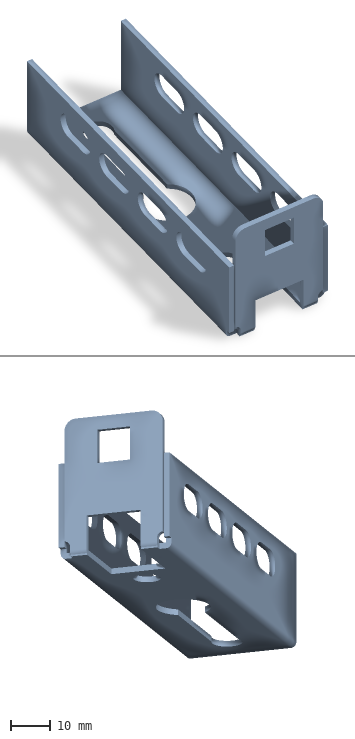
import cadquery as cq

length = 95
width = 30.0
total_height = 36.5
sheet = 1.5
bend_radius = 1.4

wall_height = 25.0
wall_length = 94.6
tab_width = 26.6
tab_corner_radius = 3.0
tab_inner_x = length - sheet

relief_start_x = 93.1
relief_inner_y = 11.8
wall_relief_top = 2.7
tab_relief_top = 4.0
tab_relief_radius = 1.5

slot_count = 4
slot_length = 14.0
slot_width = 7.0
slot_pitch = 18.05
first_slot_x = 22.7
slot_z = 17.0

keyhole_small_x = 10.45
keyhole_small_diameter = 8.0
keyhole_large_x = 42.9
keyhole_large_diameter = 14.1
keyhole_neck_width = 7.2
round_hole_x = 70.0
round_hole_diameter = 7.0

bend_window_start_x = 76.5
bend_window_width = 14.6
bend_window_top = 10.4
tab_window_size = 8.8
tab_window_bottom = 24.0


def box(x_range, y_range, z_range):
    """Box spanning the given coordinate ranges."""
    sizes = [high - low for low, high in (x_range, y_range, z_range)]
    corner = (x_range[0], y_range[0], z_range[0])
    return cq.Workplane("XY").box(*sizes, centered=False).translate(corner)


def make_channel():
    """U-shaped channel with rounded lower outer edges and relieved end corners."""
    half = width / 2
    body = box((0, wall_length), (-half, half), (0, wall_height))
    body = body.edges("|X and <Z").fillet(bend_radius)
    inner = half - sheet
    body = body.cut(box((0, wall_length), (-inner, inner), (sheet, wall_height)))
    for y_range in ((-half, -relief_inner_y), (relief_inner_y, half)):
        body = body.cut(box((relief_start_x, wall_length), y_range, (0, wall_relief_top)))
    return body


def make_tab():
    """Upright end tab with its bent foot, rounded top and relieved lower corners."""
    half = tab_width / 2
    tab = box((tab_inner_x, length), (-half, half), (0, total_height))
    tab = tab.edges("|X and >Z").fillet(tab_corner_radius)
    for side in (-1, 1):
        y_range = sorted((side * relief_inner_y, side * (half + sheet)))
        relief = box((tab_inner_x, length), y_range, (0, tab_relief_top))
        inner_edge = "<Y" if side > 0 else ">Y"
        relief = relief.edges("|X and >Z").edges(inner_edge).fillet(tab_relief_radius)
        tab = tab.cut(relief)
    foot = box((relief_start_x, length), (-relief_inner_y, relief_inner_y), (0, sheet))
    return tab.union(foot).edges("|Y and >X and <Z").fillet(bend_radius)


def wall_slots():
    """Cutters for the slots through both walls."""
    centres = [(first_slot_x + i * slot_pitch, slot_z) for i in range(slot_count)]
    slots = cq.Workplane("XZ").pushPoints(centres).slot2D(slot_length, slot_width)
    return slots.extrude(width, both=True)


def floor_hole(x, diameter):
    """Round cutter through the floor on the centre line."""
    return cq.Workplane("XY").center(x, 0).circle(diameter / 2).extrude(sheet)


def keyhole():
    """Cutter for the keyhole: two round ends joined by a straight neck."""
    half = keyhole_neck_width / 2
    neck = box((keyhole_small_x, keyhole_large_x), (-half, half), (0, sheet))
    small_end = floor_hole(keyhole_small_x, keyhole_small_diameter)
    large_end = floor_hole(keyhole_large_x, keyhole_large_diameter)
    return neck.union(small_end).union(large_end)


def bend_window():
    """Cutter for the window that runs from the floor, around the bend, into the tab."""
    half = bend_window_width / 2
    return box((bend_window_start_x, length), (-half, half), (0, bend_window_top))


def tab_window():
    """Cutter for the square window near the top of the tab."""
    half = tab_window_size / 2
    z_range = (tab_window_bottom, tab_window_bottom + tab_window_size)
    return box((tab_inner_x, length), (-half, half), z_range)


result = make_channel().union(make_tab())
result = result.cut(wall_slots()).cut(keyhole())
result = result.cut(floor_hole(round_hole_x, round_hole_diameter))
result = result.cut(bend_window()).cut(tab_window())